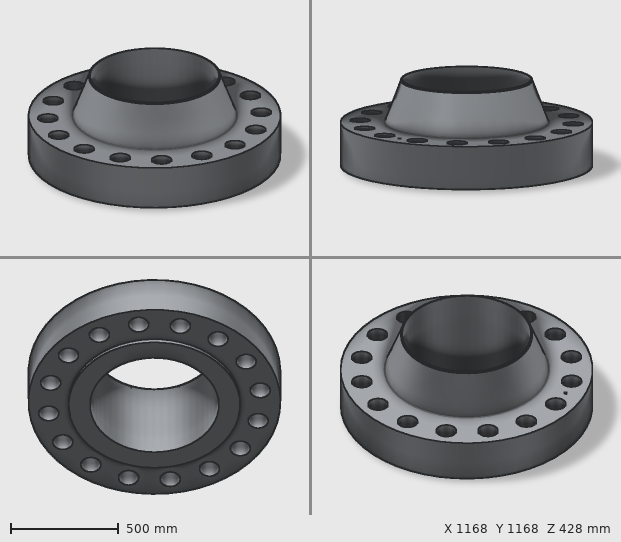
import cadquery as cq
import math

FLANGE_DIAMETER = 1168.0
FLANGE_THICKNESS = 203.0

FACE_DIAMETER = 794.0
FACE_HEIGHT = 21.0

OVERALL_HEIGHT = 428.0
NECK_BASE_DIAMETER = 762.0
NECK_FILLET_RADIUS = 4.0
LIP_DIAMETER = 610.0
LIP_HEIGHT = 7.0
BEVEL_HEIGHT = LIP_HEIGHT / 2
LAND_WIDTH = 2.0

BORE_DIAMETER = 597.0

BOLT_COUNT = 16
BOLT_CIRCLE_DIAMETER = 990.0
BOLT_HOLE_DIAMETER = 92.0
BOLT_PITCH_ANGLE = 360 / BOLT_COUNT

SMALL_HOLE_DIAMETER = 7.0
SMALL_HOLE_MOUTH_DIAMETER = 13.0
SMALL_HOLE_CHAMFER = (SMALL_HOLE_MOUTH_DIAMETER - SMALL_HOLE_DIAMETER) / 2
SMALL_HOLE_DEPTH = 23.0
SMALL_HOLE_ANGLE = 90 + BOLT_PITCH_ANGLE / 2

FLANGE_BOTTOM = FACE_HEIGHT
FLANGE_TOP = FLANGE_BOTTOM + FLANGE_THICKNESS


def revolve_section(points):
    """Revolve a closed (radius, height) outline about the Z axis."""
    return cq.Workplane("XZ").polyline(points).close().revolve(360, (0, 0), (0, 1))


def make_disc():
    """Flange disc with its raised face, bored through."""
    bore_radius = BORE_DIAMETER / 2
    return revolve_section([
        (bore_radius, 0),
        (FACE_DIAMETER / 2, 0),
        (FACE_DIAMETER / 2, FLANGE_BOTTOM),
        (FLANGE_DIAMETER / 2, FLANGE_BOTTOM),
        (FLANGE_DIAMETER / 2, FLANGE_TOP),
        (bore_radius, FLANGE_TOP),
    ])


def make_neck():
    """Tapered neck with its beveled lip, bored through."""
    bore_radius = BORE_DIAMETER / 2
    lip_radius = LIP_DIAMETER / 2
    return revolve_section([
        (bore_radius, FLANGE_TOP),
        (NECK_BASE_DIAMETER / 2, FLANGE_TOP),
        (lip_radius, OVERALL_HEIGHT - LIP_HEIGHT),
        (lip_radius, OVERALL_HEIGHT - BEVEL_HEIGHT),
        (bore_radius + LAND_WIDTH, OVERALL_HEIGHT),
        (bore_radius, OVERALL_HEIGHT),
    ])


def make_body():
    """Join disc and neck, and fillet the corner where the neck meets the disc."""
    body = make_disc().union(make_neck())
    disc_top = body.faces(cq.selectors.NearestToPointSelector((0, 0, FLANGE_TOP)))
    neck_corner = disc_top.edges(cq.selectors.RadiusNthSelector(0))
    return neck_corner.fillet(NECK_FILLET_RADIUS)


def make_bolt_holes():
    """Cutters for the ring of bolt holes through the disc."""
    return (
        cq.Workplane("XY")
        .workplane(offset=FLANGE_BOTTOM)
        .polarArray(BOLT_CIRCLE_DIAMETER / 2, 0, 360, BOLT_COUNT)
        .circle(BOLT_HOLE_DIAMETER / 2)
        .extrude(FLANGE_THICKNESS)
    )


def make_small_hole():
    """Cutter for the small chamfered hole in the upper face of the disc."""
    hole_radius = SMALL_HOLE_DIAMETER / 2
    cutter = revolve_section([
        (0, FLANGE_TOP),
        (SMALL_HOLE_MOUTH_DIAMETER / 2, FLANGE_TOP),
        (hole_radius, FLANGE_TOP - SMALL_HOLE_CHAMFER),
        (hole_radius, FLANGE_TOP - SMALL_HOLE_DEPTH),
        (0, FLANGE_TOP - SMALL_HOLE_DEPTH),
    ])
    angle = math.radians(SMALL_HOLE_ANGLE)
    pitch_radius = BOLT_CIRCLE_DIAMETER / 2
    return cutter.translate((pitch_radius * math.cos(angle), pitch_radius * math.sin(angle), 0))


result = make_body().cut(make_bolt_holes()).cut(make_small_hole())